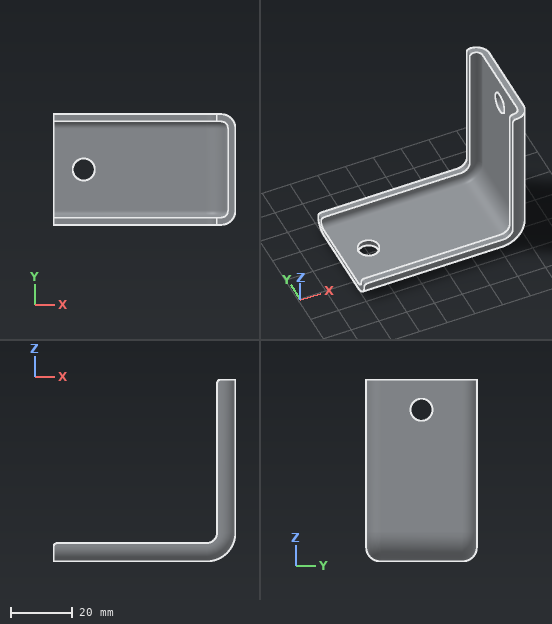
import cadquery as cq

leg_length = 59.6
width = 36.35
thickness = 2.45
flange_height = 6.1
flange_bend_radius = 4.7
leg_bend_radius = 9.4
tip_radius = 1.25
hole_diameter = 7.15
hole_inset = 9.9

free_end_x = -leg_length / 2
corner_x = leg_length / 2
bend_x = corner_x - leg_bend_radius


def rounded_channel_blank(half_width, floor, radius):
    """Closed YZ outline at the free end, rounded at its two lower corners."""
    arc_offset = radius * (1 - 0.5**0.5)
    return (
        cq.Workplane("YZ", origin=(free_end_x, 0, 0))
        .moveTo(-half_width, flange_height)
        .lineTo(-half_width, floor + radius)
        .threePointArc(
            (-half_width + arc_offset, floor + arc_offset),
            (-half_width + radius, floor),
        )
        .lineTo(half_width - radius, floor)
        .threePointArc(
            (half_width - arc_offset, floor + arc_offset),
            (half_width, floor + radius),
        )
        .lineTo(half_width, flange_height)
        .close()
    )


def swept_blank(half_width, floor, radius):
    """Carry a channel outline along one leg, round the bend and up the other."""
    path = (
        cq.Workplane("XZ")
        .moveTo(free_end_x, 0)
        .lineTo(bend_x, 0)
        .radiusArc((corner_x, leg_bend_radius), -leg_bend_radius)
        .lineTo(corner_x, leg_length)
    )
    return rounded_channel_blank(half_width, floor, radius).sweep(path)


outer = swept_blank(width / 2, 0, flange_bend_radius)
inner = swept_blank(width / 2 - thickness, thickness, flange_bend_radius - thickness)
bracket = outer.cut(inner)

edge_tolerance = 0.05


def tip_edges(x, z):
    """Select the short edges across the flange tips at the given X and Z."""
    return cq.selectors.BoxSelector(
        (x - edge_tolerance, -width, z - edge_tolerance),
        (x + edge_tolerance, width, z + edge_tolerance),
    )


bracket = bracket.edges(tip_edges(free_end_x, flange_height)).fillet(tip_radius)
bracket = bracket.edges(tip_edges(corner_x - flange_height, leg_length)).fillet(tip_radius)

floor_hole = (
    cq.Workplane("XY")
    .center(free_end_x + hole_inset, 0)
    .circle(hole_diameter / 2)
    .extrude(thickness)
)
wall_hole = (
    cq.Workplane("YZ", origin=(corner_x - thickness, 0, leg_length - hole_inset))
    .circle(hole_diameter / 2)
    .extrude(thickness)
)

result = bracket.cut(floor_hole).cut(wall_hole)